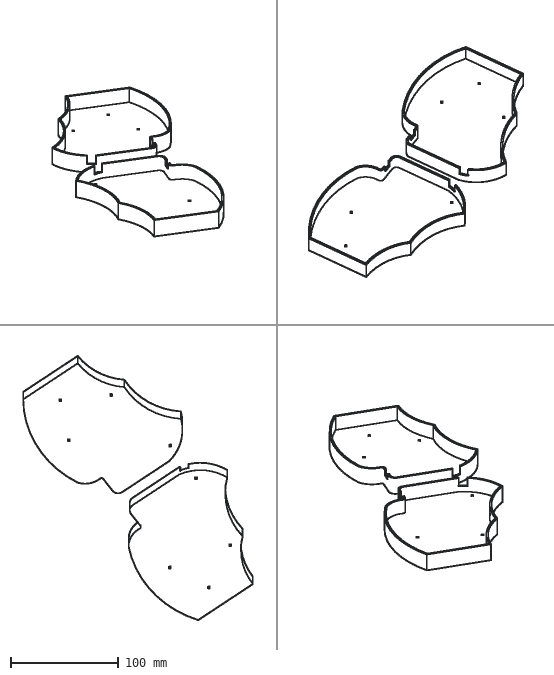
import cadquery as cq

span = 279.0
tray_gap = 16.5
half_span = span / 2
half_gap = tray_gap / 2
height = 17.0
floor_thickness = 2.5
wall_thickness = 1.7

front_outer = (-half_span, 0.0)
back_outer = (-half_span, 63.0)
back_crown = (-83.7, 81.2)
back_end = (-40.5, 71.7)
bulge_middle = (-33.8, 64.0)
bulge_end = (-31.5, 53.0)
shoulder_y = 50.2
shoulder_corner_radius = 6.5
inner_corner_radius = 1.7
inner_wall_front = (-half_gap, -10.0)
thumb_middle = (-19.3, -32.5)
thumb_tip = (-37.0, -44.7)
front_arch_middle = (-62.2, -26.0)
front_cusp = (-94.3, -21.0)
outer_arch_middle = (-113.3, -6.1)

hole_diameter = 2.0
hole_centres = [(-118.3, 35.5), (-80.5, 53.0), (-95.0, -6.1), (-20.7, -20.5)]

side_notch_depth = height / 2
shoulder_notch_depth = 6.0
notch_reach = 5.5
shoulder_notch_start = -26.5
shoulder_notch_end = -18.7
side_notch_front = -18.7
side_notch_back = -10.5


def tray_blank():
    """Solid prism with the outer outline, its shoulder corners rounded."""
    blank = (
        cq.Workplane("XY")
        .moveTo(*front_outer)
        .lineTo(*back_outer)
        .threePointArc(back_crown, back_end)
        .threePointArc(bulge_middle, bulge_end)
        .lineTo(bulge_end[0], shoulder_y)
        .lineTo(-half_gap, shoulder_y)
        .lineTo(*inner_wall_front)
        .threePointArc(thumb_middle, thumb_tip)
        .threePointArc(front_arch_middle, front_cusp)
        .threePointArc(outer_arch_middle, front_outer)
        .close()
        .extrude(height)
    )
    middle = height / 2
    blank = blank.edges(
        cq.selectors.NearestToPointSelector((-half_gap, shoulder_y, middle))
    ).fillet(shoulder_corner_radius)
    return blank.edges(
        cq.selectors.NearestToPointSelector((bulge_end[0], shoulder_y, middle))
    ).fillet(inner_corner_radius)


def cavity(blank):
    """Space inside the walls, above the floor."""
    outline = blank.faces("<Z").wires().val()
    inset = outline.offset2D(-wall_thickness, "intersection")
    return (
        cq.Workplane("XY")
        .add(inset)
        .toPending()
        .extrude(height)
        .translate((0, 0, floor_thickness))
    )


def notch(x_start, x_end, y_start, y_end, depth):
    """Box cutter that opens a wall from the rim down."""
    return (
        cq.Workplane("XY")
        .box(x_end - x_start, y_end - y_start, depth, centered=False)
        .translate((x_start, y_start, height - depth))
    )


def left_tray():
    blank = tray_blank()
    holes = cq.Workplane("XY").pushPoints(hole_centres).circle(hole_diameter / 2).extrude(height)
    shoulder_notch = notch(
        shoulder_notch_start, shoulder_notch_end,
        shoulder_y - notch_reach / 2, shoulder_y + notch_reach / 2,
        shoulder_notch_depth,
    )
    side_notch = notch(
        -half_gap - notch_reach, -half_gap,
        side_notch_front, side_notch_back,
        side_notch_depth,
    )
    return blank.cut(cavity(blank)).cut(holes).cut(shoulder_notch).cut(side_notch)


trays = [left_tray(), left_tray().mirror("YZ")]

result = cq.Compound.makeCompound([tray.val() for tray in trays])